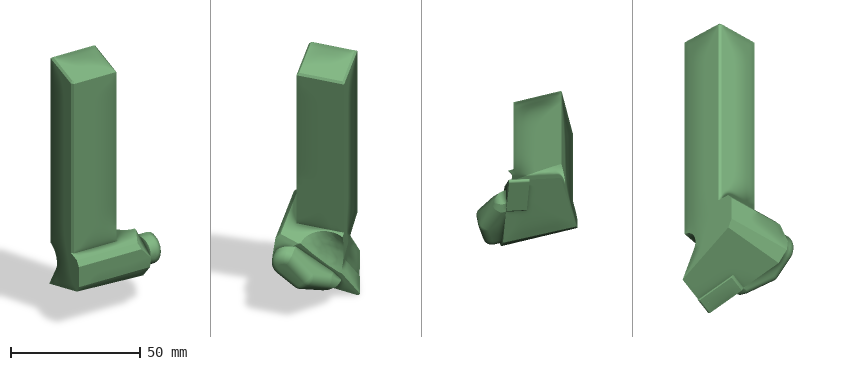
import cadquery as cq
import math


shank_side = 19.1
shank_length = 82.3
end_chamfer = 0.8
edge_chamfer = 0.9
root_depth = 0.7
root_height = 0.3

head_right = 25.4
shoulder_chamfer_x = 1.8
shoulder_chamfer_z = 2.1
head_right_bottom = -11.8
slant_x = 19.4
slant_z = -22.9
head_depth = 38.9
head_left = -9.1
head_bottom = -34.3
notch_step = -17.1

sweep_x = -0.26
sweep_z = -0.19
nose_x = -1.1
nose_z = -27.8
flank_angle = 61.5
base_angle = 27.2
flank_length = 13.0
notch_radius = 6.2

rake_point = (-6.5, 19.2, -31.9)
rake_x = 0.275
rake_z = 0.125

scoop_x = 5.4
scoop_y = 28.9
scoop_radius = 9.3
scoop_drop = 20.0
scoop_slope = 0.65

ridge_x = 14.6
ridge_y = 29.5
ridge_angle = -21.4
ridge_rise = 0.7

insert_tip = (-7.4, -33.0)
insert_edge = 16.7
insert_angle = 36.6
insert_lead = 63.2
insert_thickness = 4.6
shim_thickness = 3.1
insert_radius = 0.8

clamp_outline = [
    (16.6, -1.7), (3.0, -17.7), (0.2, -22.4), (4.6, -25.4), (8.0, -24.7), (24.9, -10.9), (24.9, -1.7),
]
clamp_top = 36.6
clamp_slope = 0.79
clamp_nose = (0.7, 25.1, -25.0)
clamp_angle = 47
clamp_round = 3.4
clamp_corner = 5.7

large = 68.6


def polar(start, length, degrees):
    """Point at a distance and angle from a start point in the XZ plane."""
    angle = math.radians(degrees)
    return start[0] + length * math.cos(angle), start[1] + length * math.sin(angle)


def rake_y(x, z):
    """Y of the rake plane above a point in XZ."""
    return rake_point[1] + rake_x * (x - rake_point[0]) + rake_z * (z - rake_point[2])


def sweep(depth):
    """Vector along the flanks that moves by a depth in Y."""
    return cq.Vector(sweep_x * depth, depth, sweep_z * depth)


def on_rake(points):
    """Closed outline on the rake plane over points given in XZ."""
    return cq.Wire.makePolygon([cq.Vector(x, rake_y(x, z), z) for x, z in points], close=True)


def prism(wire, vector):
    """Prism over a closed wire, swept straight along a vector."""
    return cq.Workplane(cq.Solid.extrudeLinear(wire, [], vector))


def rake_block(depth):
    """Large block from the rake plane toward the back, or toward the front for a negative depth."""
    square = [(-large, -large), (large, -large), (large, large), (-large, large)]
    return prism(on_rake(square), cq.Vector(0, depth, 0))


def along_y(points, depth):
    """Prism over an XZ outline, from Y = 0 toward the back."""
    return cq.Workplane("XZ").polyline(points).close().extrude(-depth)


def make_shank():
    """Square bar with one chamfered long edge and a chamfered end."""
    shank = cq.Workplane("XY").box(shank_side, shank_side, shank_length, centered=False)
    shank = shank.edges("|Z and >X and <Y").chamfer(edge_chamfer)
    return shank.faces(">Z").chamfer(end_chamfer)


def make_root_strip():
    """Low sloping strip where the back of the shank meets the shoulder."""
    section = cq.Workplane("YZ", origin=(0, shank_side, 0))
    return section.lineTo(root_depth, 0).lineTo(0, root_height).close().extrude(shank_side)


def make_flanks():
    """Region bounded by the two flanks and the round notch, swept obliquely."""
    nose = (nose_x, nose_z)
    flank_end = polar(nose, flank_length, flank_angle)
    center = polar(flank_end, notch_radius, flank_angle + 90)
    notch_top = (center[0], center[1] + notch_radius)
    notch_side = polar(center, notch_radius, flank_angle / 2)
    base_end = polar(nose, large, base_angle)
    outline = (
        cq.Workplane("XZ").moveTo(*base_end).lineTo(*nose).lineTo(*flank_end)
        .threePointArc(notch_side, notch_top)
        .lineTo(-large, notch_top[1]).lineTo(-large, large).lineTo(base_end[0], large).close()
    )
    return prism(outline.val(), sweep(head_depth))


def make_head():
    """Head block, trimmed by the flanks and by the rake plane."""
    block = along_y([
        (0, 0), (head_right - shoulder_chamfer_x, 0), (head_right, -shoulder_chamfer_z),
        (head_right, head_right_bottom), (slant_x, slant_z), (slant_x, head_bottom),
        (head_left, head_bottom), (head_left, notch_step), (0, notch_step),
    ], head_depth)
    return block.intersect(make_flanks()).cut(rake_block(large))


def make_scoop():
    """Slanted cylinder that hollows the left side behind the shank."""
    circle = cq.Wire.makeCircle(scoop_radius, cq.Vector(scoop_x, scoop_y, 0), cq.Vector(0, 0, 1))
    return prism(circle, cq.Vector(-scoop_slope * scoop_drop, 0, -scoop_drop))


def make_ridge_cut():
    """Block behind the plane that slopes down and back from the ridge line."""
    section = (
        cq.Workplane("YZ").polyline([(0, 0), (large, 0), (large, -large), (ridge_rise * large, -large)])
        .close().extrude(large)
    )
    return section.rotate((0, 0, 0), (0, 0, 1), ridge_angle).translate((ridge_x, ridge_y, 0))


def make_plate(depth, thickness):
    """Rhombic plate with a rounded tip, its top a depth below the rake plane."""
    upper = polar(insert_tip, insert_edge, insert_lead)
    lower = polar(insert_tip, insert_edge, insert_lead - insert_angle)
    end = (upper[0] + lower[0] - insert_tip[0], upper[1] + lower[1] - insert_tip[1])
    plate = prism(on_rake([insert_tip, upper, end, lower]), sweep(-thickness))
    tip = cq.Vector(insert_tip[0], rake_y(*insert_tip), insert_tip[1])
    tip_edge = cq.selectors.NearestToPointSelector((tip + sweep(-thickness / 2)).toTuple())
    return plate.edges(tip_edge).fillet(insert_radius).translate(sweep(-depth))


def make_clamp():
    """Rounded clamp that stands on the rake plane and is one piece with the holder."""
    body = along_y(clamp_outline, clamp_top)
    fall = clamp_slope * large
    above_slope = (
        cq.Workplane("XY").polyline([(-large, -fall), (-large, large), (large, large), (large, fall)])
        .close().extrude(large, both=True)
        .rotate((0, 0, 0), (0, 1, 0), -clamp_angle)
        .translate(clamp_nose)
    )
    body = body.cut(above_slope)
    body = body.edges("|Y and >X").fillet(clamp_corner)
    body = body.faces("not |Y").edges("not |Y").edges("not <Y").fillet(clamp_round)
    return body.cut(rake_block(-large))


insert = make_plate(0, insert_thickness)
head = make_head().cut(make_scoop()).cut(make_ridge_cut())
shim = make_plate(insert_thickness, shim_thickness)
holder = make_shank().union(make_root_strip()).union(head).union(shim).union(make_clamp()).cut(insert)

result = cq.Compound.makeCompound([holder.val(), insert.val()])